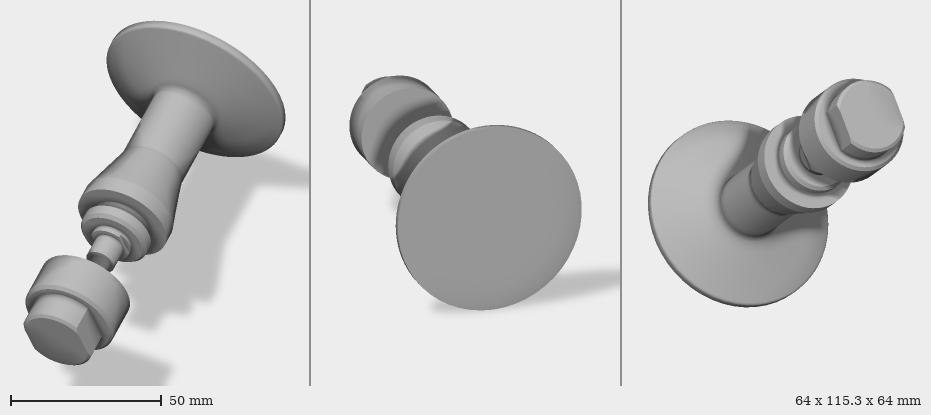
import cadquery as cq
import math

OVERALL_LENGTH = 115.3

DISC_DIAMETER = 64.0
DISC_RIM_END = 2.8
DISC_RIM_FILLET = 0.9
STEM_DIAMETER = 22.0
STEM_START = 10.8
STEM_ROOT_FILLET = 1.7
STEM_END = 37.4

BODY_DIAMETER = 32.0
FLARE_END = 56.0
FLANGE_END = 61.5

NECK_DIAMETER = 20.0
NECK_END = 63.0
NECK_FILLET = 0.3
COLLAR_DIAMETER = 24.0
COLLAR_TAPER = (COLLAR_DIAMETER - NECK_DIAMETER) / 2
COLLAR_END = 69.4
COLLAR_CHAMFER = 1.2

BOSS_DIAMETER = 14.0
BOSS_END = 71.7
BOSS_FLAT_WIDTH = 11.0
BOSS_FLAT_LENGTH = 1.2
PIN_DIAMETER = 10.0
PIN_END = 79.4
PIN_BORE_DIAMETER = 7.0

CAP_START = 91.1
CAP_END = 105.5
CAP_CHAMFER = 1.0
HUB_DIAMETER = 25.0
HUB_ROOT_FILLET = 0.5
HUB_CHAMFER_LENGTH = 0.8
HUB_CHAMFER_DEPTH = 1.0
HUB_FLAT_WIDTH = 21.0

FLAT_ANGLE = 22.5


def revolve_profile(points):
    """Revolve (radius, distance) points about the Y axis."""
    outline = [(radius, -distance) for radius, distance in points]
    return cq.Workplane("XY").polyline(outline).close().revolve(360, (0, 0, 0), (0, 1, 0))


def cylinder(diameter, start, end):
    """Cylinder on the Y axis between two distances."""
    return cq.Workplane("XZ", origin=(0, -start, 0)).circle(diameter / 2).extrude(end - start)


def circle_at(radius, distance):
    """Selector for the circular edge of a given radius at a given distance."""
    tolerance = 0.01
    reach = radius + tolerance
    return cq.selectors.BoxSelector(
        (-reach, -distance - tolerance, -reach),
        (reach, -distance + tolerance, reach),
        boundingbox=True,
    )


def flat_sided_bar(width, start, end):
    """Bar with two parallel sides, turned about the Y axis."""
    bar = cq.Workplane("XZ", origin=(0, -start, 0)).rect(width, DISC_DIAMETER).extrude(end - start)
    return bar.rotate((0, 0, 0), (0, 1, 0), -FLAT_ANGLE)


def make_handle():
    disc_radius = DISC_DIAMETER / 2
    stem_radius = STEM_DIAMETER / 2
    body_radius = BODY_DIAMETER / 2
    neck_radius = NECK_DIAMETER / 2
    collar_radius = COLLAR_DIAMETER / 2

    handle = revolve_profile([
        (0, 0),
        (disc_radius, 0),
        (disc_radius, DISC_RIM_END),
        (stem_radius, STEM_START),
        (stem_radius, STEM_END),
        (body_radius, FLARE_END),
        (body_radius, FLANGE_END),
        (neck_radius, FLANGE_END),
        (neck_radius, NECK_END),
        (collar_radius, NECK_END + COLLAR_TAPER),
        (collar_radius, COLLAR_END - COLLAR_CHAMFER),
        (collar_radius - COLLAR_CHAMFER, COLLAR_END),
        (0, COLLAR_END),
    ])
    handle = handle.edges(circle_at(disc_radius, DISC_RIM_END)).fillet(DISC_RIM_FILLET)
    handle = handle.edges(circle_at(stem_radius, STEM_START)).fillet(STEM_ROOT_FILLET)
    handle = handle.edges(circle_at(neck_radius, FLANGE_END)).fillet(NECK_FILLET)
    handle = handle.edges(circle_at(neck_radius, NECK_END)).fillet(NECK_FILLET)

    flat_start = BOSS_END - BOSS_FLAT_LENGTH
    boss_tip = cylinder(BOSS_DIAMETER, flat_start, BOSS_END)
    boss_tip = boss_tip.intersect(flat_sided_bar(BOSS_FLAT_WIDTH, flat_start, BOSS_END))
    handle = handle.union(cylinder(BOSS_DIAMETER, COLLAR_END, flat_start)).union(boss_tip)

    handle = handle.union(cylinder(PIN_DIAMETER, BOSS_END, PIN_END))
    return handle.cut(cylinder(PIN_BORE_DIAMETER, BOSS_END, PIN_END))


def make_cap():
    body_radius = BODY_DIAMETER / 2
    hub_radius = HUB_DIAMETER / 2

    body = revolve_profile([
        (0, CAP_START),
        (body_radius, CAP_START),
        (body_radius, CAP_END - CAP_CHAMFER),
        (body_radius - CAP_CHAMFER, CAP_END),
        (0, CAP_END),
    ])

    root_turn = HUB_ROOT_FILLET * (1 - math.sqrt(0.5))
    hub = (
        cq.Workplane("XY")
        .moveTo(0, -CAP_END)
        .lineTo(hub_radius + HUB_ROOT_FILLET, -CAP_END)
        .threePointArc(
            (hub_radius + root_turn, -CAP_END - root_turn),
            (hub_radius, -CAP_END - HUB_ROOT_FILLET),
        )
        .lineTo(hub_radius, -OVERALL_LENGTH + HUB_CHAMFER_LENGTH)
        .lineTo(hub_radius - HUB_CHAMFER_DEPTH, -OVERALL_LENGTH)
        .lineTo(0, -OVERALL_LENGTH)
        .close()
        .revolve(360, (0, 0, 0), (0, 1, 0))
    )

    hub = hub.intersect(flat_sided_bar(HUB_FLAT_WIDTH, CAP_END, OVERALL_LENGTH))
    return body.union(hub)


handle = make_handle()
cap = make_cap()
result = cq.Compound.makeCompound([handle.val(), cap.val()])